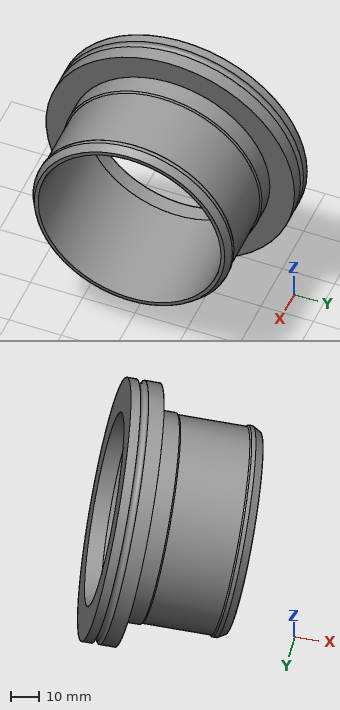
import cadquery as cq
import math

flange_radius = 47.5
total_length = 50.0
bore_radius = 35.0

flange_width = 12.0
groove_center_x = 4.9
groove_radius = 1.4
recess_start_x = flange_width / 2

sleeve_radius = 38.1
waist_depth = 0.6
waist_taper_length = 0.6
shoulder_end_x = 19.4
tail_band_start_x = 45.5
nose_length = 2.9
nose_angle = 30.0
waist_radius = sleeve_radius - waist_depth
nose_end_radius = sleeve_radius - nose_length * math.tan(math.radians(nose_angle))


def revolve_about_x(profile):
    """Close a profile drawn as (x, radius) and revolve it around the X axis."""
    return profile.close().revolve(360, (0, 0, 0), (1, 0, 0))


def make_flange():
    """Ring with a half-round groove in its rim and a rear recess for the sleeve."""
    profile = (
        cq.Workplane("XY")
        .moveTo(0, bore_radius)
        .lineTo(0, flange_radius)
        .lineTo(groove_center_x - groove_radius, flange_radius)
        .threePointArc(
            (groove_center_x, flange_radius - groove_radius),
            (groove_center_x + groove_radius, flange_radius),
        )
        .lineTo(flange_width, flange_radius)
        .lineTo(flange_width, sleeve_radius)
        .lineTo(recess_start_x, sleeve_radius)
        .lineTo(recess_start_x, bore_radius)
    )
    return revolve_about_x(profile)


def make_sleeve():
    """Tube with a slightly waisted outside and a tapered nose."""
    profile = (
        cq.Workplane("XY")
        .moveTo(recess_start_x, bore_radius)
        .lineTo(recess_start_x, sleeve_radius)
        .lineTo(shoulder_end_x, sleeve_radius)
        .lineTo(shoulder_end_x + waist_taper_length, waist_radius)
        .lineTo(tail_band_start_x - waist_taper_length, waist_radius)
        .lineTo(tail_band_start_x, sleeve_radius)
        .lineTo(total_length - nose_length, sleeve_radius)
        .lineTo(total_length, nose_end_radius)
        .lineTo(total_length, bore_radius)
    )
    return revolve_about_x(profile)


flange = make_flange()
sleeve = make_sleeve()
result = cq.Compound.makeCompound([flange.val(), sleeve.val()])